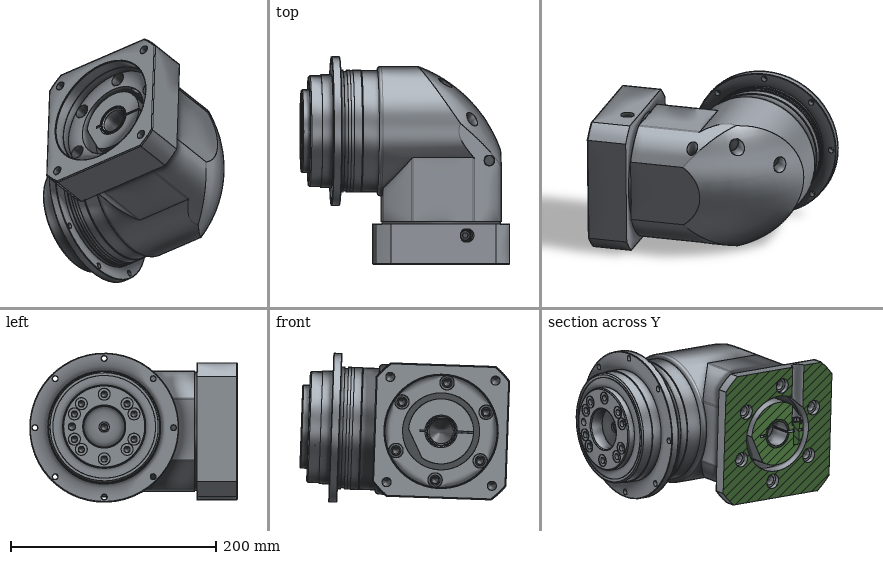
import cadquery as cq
import math

assembly_tilt = 2.0

disc_face_x = -136.2
nose_face_x = -129.2
nose_step_x = -117.2
flange_face_x = -107.0
flange_back_x = -99.0
neck_start_x = -78.2
shoulder_x = -62.2

motor_face_y = -130.0
plate_back_y = -90.5
elbow_end_y = -88.0
recess_step_y = motor_face_y + 12.0
recess_floor_y = motor_face_y + 20.0
hub_back_y = -60.0

disc_radius = 40.5
disc_chamfer = 1.0
disc_pocket_radius = 20.0
disc_pocket_depth = 14.0
disc_pocket_chamfer = 1.0
center_hole_radius = 3.4
center_hole_depth = 10.0
center_recess_radius = 5.0
center_recess_depth = 2.0
disc_bolt_circle_radius = 31.5
disc_bolt_angles = [23, 45, 90, 135, 157, 203, 225, 270, 315, 337]
disc_bolt_radius = 3.0
disc_bolt_recess_radius = 5.8
disc_bolt_recess_depth = 0.5
disc_bolt_depth = 12.0
dowel_radius = 3.5
dowel_depth = 10.0

nose_radius = 54.1
nose_rear_radius = 55.0
nose_chamfer = 1.4
nose_recess_radius = 50.0
nose_recess_depth = 0.5

flange_radius = 72.5
flange_chamfer = 0.5
flange_hole_circle_radius = 67.5
flange_hole_radius = 2.75
flange_hole_count = 8
ring_radius = 59.5
seal_groove_x = -95.7
seal_groove_width = 3.5
seal_groove_depth = 1.3
witness_groove_x = -89.3
witness_groove_width = 3.0
witness_groove_depth = 0.2
joint_chamfer = 0.5

neck_radius = 59.2
output_arm_radius = 63.2
shoulder_round = 3.5
input_arm_radius = 65.0
input_flat_distance = 57.7
flat_edge_round = 3.0
crown_height = 41.0
crown_offset = 4.0
crown_length_radius = 135.0
crown_width_radius = 96.0
bend_cut_start = 10.0
tool_size = 400.0
side_port_radius = 5.1
side_port_x = 45.6
side_port_y = -28.6
side_port_floor_z = 30.0
bend_port_radius = 7.4
bend_port_depth = 12.0
bend_ports = [(31.0, 21.0), (-12.0, 45.0)]

plate_size = 130.0
plate_corner_radius = 82.7
plate_chamfer = 1.0
recess_mouth_radius = 55.0
recess_mouth_chamfer = 0.7
recess_radius = 54.6
hub_clearance_radius = 37.5
corner_hole_circle_radius = 72.5
corner_hole_radius = 4.4
corner_hole_depth = 20.0
plate_bolt_circle_radius = 47.7
plate_bolt_count = 6
plate_bolt_first_angle = 25.0
plate_bolt_head_radius = 7.0
plate_bolt_radius = 4.75
plate_bolt_head_floor_y = plate_back_y - 6.0
plate_thread_radius = 3.4
plate_thread_depth = 14.0
access_hole_radius = 6.5

hub_radius = 31.7
hub_flat_distance = 27.7
hub_flat_angle = 207.0
bore_depth = 32.0
sleeve_outer_radius = 14.5
sleeve_bore_radius = 12.0
bore_chamfer = 1.3
slit_width = 1.8
relief_slit_reach = 20.5
clamp_screw_x = 23.2
clamp_screw_y = -101.5
clamp_head_radius = 4.7
clamp_head_top_z = 12.0
clamp_head_height = 6.0
clamp_pocket_radius = 5.5
clamp_shank_radius = 3.0
clamp_shank_end_z = -14.0
hex_socket_size = 5.8
hex_socket_depth = 3.5

drill_tip_ratio = math.tan(math.radians(30))


def x_cylinder(x_start, x_end, radius):
    return cq.Workplane("YZ").workplane(offset=x_start).circle(radius).extrude(x_end - x_start)


def y_cylinder(y_start, y_end, radius):
    """Cylinder on the input axis from y_start inward to the larger y_end."""
    return cq.Workplane("XZ").workplane(offset=-y_start).circle(radius).extrude(y_start - y_end)


def z_cylinder(x, y, z_start, z_end, radius):
    return cq.Workplane("XY", origin=(x, y, z_start)).circle(radius).extrude(z_end - z_start)


def drilled_hole(radius, depth):
    """Blind hole cutter along +X from the origin, ending in a drill point."""
    tip = depth + radius * drill_tip_ratio
    profile = cq.Workplane("XY").polyline([(0, 0), (0, radius), (depth, radius), (tip, 0)]).close()
    return profile.revolve(360, (0, 0, 0), (1, 0, 0))


def output_hole(x, circle_radius, angle, radius, depth):
    """Drilled hole entering at x, set at an angle from +Y around the output axis."""
    y = circle_radius * math.cos(math.radians(angle))
    z = circle_radius * math.sin(math.radians(angle))
    return drilled_hole(radius, depth).translate((x, y, z))


def input_hole(y, circle_radius, angle, radius, depth):
    """Drilled hole entering at y, set at an angle from +X around the input axis."""
    x = circle_radius * math.cos(math.radians(angle))
    z = circle_radius * math.sin(math.radians(angle))
    return drilled_hole(radius, depth).rotate((0, 0, 0), (0, 0, 1), 90).translate((x, y, z))


plate_bolt_angles = [
    plate_bolt_first_angle + i * 360 / plate_bolt_count for i in range(plate_bolt_count)
]


def build_output_disc():
    disc = x_cylinder(disc_face_x, flange_face_x, disc_radius).faces("<X").chamfer(disc_chamfer)
    pocket_floor_x = disc_face_x + disc_pocket_depth
    disc = disc.cut(x_cylinder(disc_face_x, pocket_floor_x, disc_pocket_radius))
    pocket_rim = cq.selectors.RadiusNthSelector(0)
    disc = disc.faces("<X").edges(pocket_rim).chamfer(disc_pocket_chamfer)
    disc = disc.cut(output_hole(pocket_floor_x, 0, 0, center_hole_radius, center_hole_depth))
    center_recess_floor_x = pocket_floor_x + center_recess_depth
    disc = disc.cut(x_cylinder(pocket_floor_x, center_recess_floor_x, center_recess_radius))
    for angle in disc_bolt_angles:
        bolt = output_hole(disc_face_x, disc_bolt_circle_radius, angle, disc_bolt_radius, disc_bolt_depth)
        recess = x_cylinder(disc_face_x, disc_face_x + disc_bolt_recess_depth, disc_bolt_recess_radius)
        recess = recess.translate((0, disc_bolt_circle_radius, 0)).rotate((0, 0, 0), (1, 0, 0), angle)
        disc = disc.cut(bolt).cut(recess)
    return disc.cut(output_hole(disc_face_x, disc_bolt_circle_radius, 0, dowel_radius, dowel_depth))


def build_nose():
    nose = x_cylinder(nose_face_x, nose_step_x, nose_radius).faces("<X").chamfer(nose_chamfer)
    nose = nose.union(x_cylinder(nose_step_x, flange_face_x, nose_rear_radius))
    nose = nose.cut(x_cylinder(nose_face_x, nose_face_x + nose_recess_depth, nose_recess_radius))
    return nose.cut(x_cylinder(nose_face_x, flange_face_x, disc_radius))


def ring_groove(x, width, depth):
    return x_cylinder(x, x + width, flange_radius).cut(x_cylinder(x, x + width, ring_radius - depth))


def build_ring_gear():
    flange = x_cylinder(flange_face_x, flange_back_x, flange_radius).edges().chamfer(flange_chamfer)
    for i in range(flange_hole_count):
        hole = x_cylinder(flange_face_x, flange_back_x, flange_hole_radius)
        hole = hole.translate((0, flange_hole_circle_radius, 0))
        flange = flange.cut(hole.rotate((0, 0, 0), (1, 0, 0), i * 360 / flange_hole_count))
    ring = x_cylinder(flange_back_x, neck_start_x, ring_radius).faces(">X").chamfer(joint_chamfer)
    ring = ring.cut(ring_groove(seal_groove_x, seal_groove_width, seal_groove_depth))
    ring = ring.cut(ring_groove(witness_groove_x, witness_groove_width, witness_groove_depth))
    return flange.union(ring)


def build_arms():
    """Both arms; on the outer side of the bend the output arm stays within the input cylinder."""
    width = 2 * input_flat_distance
    length = -elbow_end_y
    input_cylinder = y_cylinder(elbow_end_y, output_arm_radius, input_arm_radius)
    outer_half = cq.Workplane("XY").box(tool_size, tool_size, tool_size).translate((tool_size / 2, 0, 0))
    output_arm = x_cylinder(shoulder_x, input_flat_distance, output_arm_radius)
    output_arm = output_arm.faces("<X").edges().fillet(shoulder_round)
    arms = cq.Workplane("XY").box(width, length, width).translate((0, elbow_end_y / 2, 0))
    arms = arms.intersect(input_cylinder.union(outer_half)).union(output_arm)
    arms = arms.cut(outer_half.cut(input_cylinder))
    end_edges = cq.selectors.BoxSelector(
        (-tool_size, elbow_end_y, -tool_size), (tool_size, -output_arm_radius / 2, tool_size)
    )
    return arms.edges("|Y").edges(end_edges).fillet(flat_edge_round)


def build_bend_cutter():
    """Space outside the crowned bend, built with the bend's bisector along +X."""
    axis_u = crown_height - crown_length_radius
    rim_z = input_arm_radius + flat_edge_round
    rim_u = crown_height - crown_width_radius + math.sqrt(crown_width_radius**2 - rim_z**2)
    barrel = (
        cq.Workplane("XZ")
        .moveTo(axis_u, -rim_z)
        .lineTo(rim_u, -rim_z)
        .threePointArc((crown_height, 0), (rim_u, rim_z))
        .lineTo(axis_u, rim_z)
        .close()
        .revolve(360, (axis_u, 0, 0), (axis_u, 1, 0))
        .translate((0, crown_offset, 0))
    )
    outside = cq.Workplane("XY").box(tool_size, tool_size, tool_size)
    outside = outside.translate((bend_cut_start + tool_size / 2, 0, 0)).cut(barrel)
    for along, height in bend_ports:
        port_depth_u = crown_height - math.hypot(along, height) / 4 - bend_port_depth
        port = x_cylinder(port_depth_u, tool_size / 2, bend_port_radius)
        outside = outside.union(port.translate((0, along, height)))
    return outside.rotate((0, 0, 0), (0, 0, 1), 45)


def build_elbow():
    neck = x_cylinder(neck_start_x, shoulder_x, neck_radius).faces("<X").chamfer(joint_chamfer)
    elbow = build_arms().cut(build_bend_cutter()).union(neck)
    elbow = elbow.cut(z_cylinder(side_port_x, side_port_y, side_port_floor_z, tool_size, side_port_radius))
    elbow = elbow.cut(y_cylinder(elbow_end_y, hub_back_y, hub_clearance_radius))
    for angle in plate_bolt_angles:
        thread = input_hole(
            elbow_end_y, plate_bolt_circle_radius, angle, plate_thread_radius, plate_thread_depth
        )
        elbow = elbow.cut(thread)
    return elbow


def build_motor_plate():
    plate = cq.Workplane("XZ").workplane(offset=-motor_face_y).rect(plate_size, plate_size)
    plate = plate.extrude(motor_face_y - plate_back_y)
    plate = plate.intersect(y_cylinder(motor_face_y, plate_back_y, plate_corner_radius))
    plate = plate.faces("<Y").chamfer(plate_chamfer)
    plate = plate.union(y_cylinder(plate_back_y, elbow_end_y, input_flat_distance))
    plate = plate.cut(y_cylinder(motor_face_y, recess_step_y, recess_mouth_radius))
    recess_rim = cq.selectors.RadiusNthSelector(0)
    plate = plate.faces("<Y").edges("%CIRCLE").edges(recess_rim).chamfer(recess_mouth_chamfer)
    plate = plate.cut(y_cylinder(motor_face_y, recess_floor_y, recess_radius))
    plate = plate.cut(y_cylinder(motor_face_y, elbow_end_y, hub_clearance_radius))
    for angle in (45, 135, 225, 315):
        corner_hole = input_hole(
            motor_face_y, corner_hole_circle_radius, angle, corner_hole_radius, corner_hole_depth
        )
        plate = plate.cut(corner_hole)
    for angle in plate_bolt_angles:
        head = y_cylinder(recess_floor_y, plate_bolt_head_floor_y, plate_bolt_head_radius)
        shank = y_cylinder(recess_floor_y, elbow_end_y, plate_bolt_radius)
        bolt = head.union(shank).translate((plate_bolt_circle_radius, 0, 0))
        plate = plate.cut(bolt.rotate((0, 0, 0), (0, 1, 0), -angle))
    return plate.cut(z_cylinder(clamp_screw_x, clamp_screw_y, 0, plate_size, access_hole_radius))


def build_sleeve():
    sleeve = y_cylinder(recess_floor_y, recess_floor_y + bore_depth, sleeve_outer_radius)
    sleeve = sleeve.cut(y_cylinder(recess_floor_y, recess_floor_y + bore_depth, sleeve_bore_radius))
    inner_edge = cq.selectors.RadiusNthSelector(0)
    sleeve = sleeve.faces("<Y").edges(inner_edge).chamfer(bore_chamfer)
    slit = cq.Workplane("XY").box(sleeve_outer_radius, tool_size, slit_width)
    return sleeve.cut(slit.translate((sleeve_outer_radius, 0, 0)))


def build_hub():
    hub = y_cylinder(recess_floor_y, hub_back_y, hub_radius)
    flat_tool = cq.Workplane("XY").box(tool_size, tool_size, tool_size)
    flat_tool = flat_tool.translate((hub_flat_distance + tool_size / 2, 0, 0))
    hub = hub.cut(flat_tool.rotate((0, 0, 0), (0, 1, 0), -hub_flat_angle))
    hub = hub.cut(input_hole(recess_floor_y, 0, 0, sleeve_outer_radius, bore_depth))
    bore_edge = cq.selectors.RadiusNthSelector(0)
    hub = hub.faces("<Y").edges(bore_edge).chamfer(bore_chamfer)
    slit_length = hub_radius + relief_slit_reach
    slit = cq.Workplane("XY").box(slit_length, bore_depth, slit_width)
    slit_middle_x = (hub_radius - relief_slit_reach) / 2
    hub = hub.cut(slit.translate((slit_middle_x, recess_floor_y + bore_depth / 2, 0)))
    head_seat_z = clamp_head_top_z - clamp_head_height
    hub = hub.cut(z_cylinder(clamp_screw_x, clamp_screw_y, head_seat_z, hub_radius, clamp_pocket_radius))
    return hub.cut(z_cylinder(clamp_screw_x, clamp_screw_y, clamp_shank_end_z, hub_radius, clamp_shank_radius))


def build_clamp_screw():
    head_seat_z = clamp_head_top_z - clamp_head_height
    screw = z_cylinder(clamp_screw_x, clamp_screw_y, head_seat_z, clamp_head_top_z, clamp_head_radius)
    screw = screw.union(
        z_cylinder(clamp_screw_x, clamp_screw_y, clamp_shank_end_z, head_seat_z, clamp_shank_radius)
    )
    socket = cq.Workplane("XY", origin=(clamp_screw_x, clamp_screw_y, clamp_head_top_z))
    return screw.cut(socket.polygon(6, hex_socket_size).extrude(-hex_socket_depth))


output_disc = build_output_disc()
nose = build_nose()
ring_gear = build_ring_gear()
elbow = build_elbow()
motor_plate = build_motor_plate()
sleeve = build_sleeve()
hub = build_hub()
clamp_screw = build_clamp_screw()

bodies = [output_disc, nose, ring_gear, elbow, motor_plate, sleeve, hub, clamp_screw]
result = cq.Compound.makeCompound(
    [body.rotate((0, 0, 0), (0, 1, 0), assembly_tilt).val() for body in bodies]
)